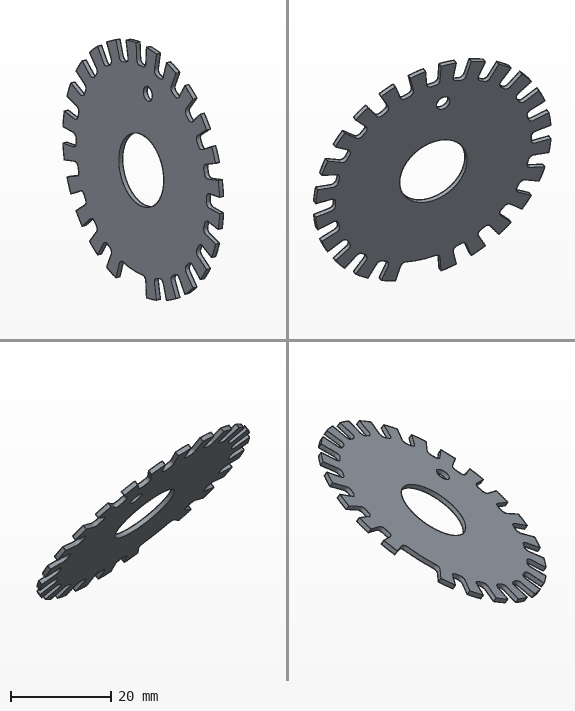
import cadquery as cq
import math

thickness = 1.0
tip_radius = 26.5
root_radius = 22.0
bore_diameter = 15.15

tooth_places = 24
pitch_angle = 360 / tooth_places
gap_angle = pitch_angle / 2
root_fillet = 1.0
gap_overrun = 5.3

hole_diameter = 3.0
hole_pitch_radius = 16.85
hole_angle = 90 - pitch_angle / 2

bottom_gap = tooth_places * 3 // 4
joined_gap = bottom_gap - 1


def polar(radius, angle):
    """Point in the plane of the disc at an angle in degrees from +X towards +Z."""
    return (
        radius * math.cos(math.radians(angle)),
        radius * math.sin(math.radians(angle)),
    )


def plate(outline):
    """Extrude a closed XZ outline symmetrically about the XZ plane."""
    return outline.extrude(thickness / 2, both=True)


def disc(diameter, center=(0, 0)):
    return plate(cq.Workplane("XZ").center(*center).circle(diameter / 2))


def is_at_root(edge):
    """True for an edge that runs along Y inside the tooth tips."""
    return math.hypot(edge.Center().x, edge.Center().z) < tip_radius


def gap_cutter(start_angle, end_angle):
    """Sector between radial walls, with rounded corners at the root arc."""
    middle_angle = (start_angle + end_angle) / 2
    outer_radius = tip_radius + gap_overrun
    sector = (
        cq.Workplane("XZ")
        .moveTo(*polar(root_radius, start_angle))
        .threePointArc(polar(root_radius, middle_angle), polar(root_radius, end_angle))
        .lineTo(*polar(outer_radius, end_angle))
        .lineTo(*polar(outer_radius, start_angle))
        .close()
    )
    return plate(sector).edges("|Y").filter(is_at_root).fillet(root_fillet)


result = disc(2 * tip_radius)
for gap in range(tooth_places):
    if gap == joined_gap:
        continue
    first_gap = joined_gap if gap == bottom_gap else gap
    start = first_gap * pitch_angle - gap_angle / 2
    end = gap * pitch_angle + gap_angle / 2
    result = result.cut(gap_cutter(start, end))

result = result.cut(disc(bore_diameter))
result = result.cut(disc(hole_diameter, polar(hole_pitch_radius, hole_angle)))